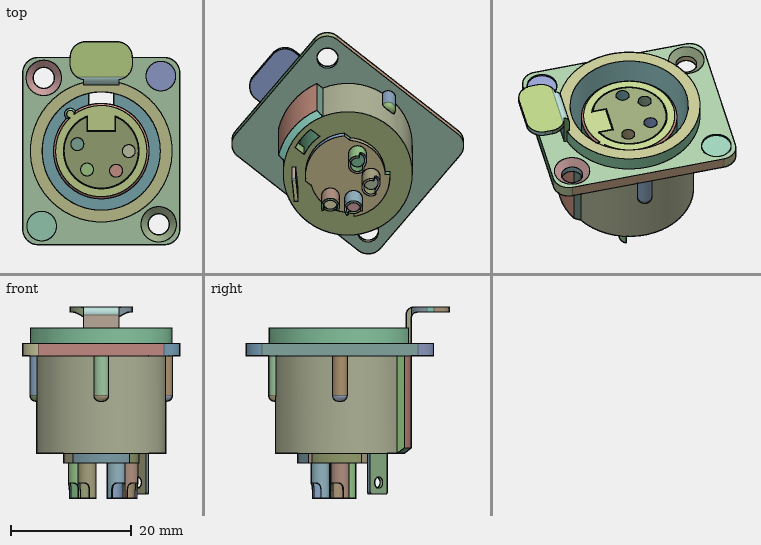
import cadquery as cq
import math


FLANGE_WIDTH = 26.01
FLANGE_HEIGHT = 31.0
FLANGE_THICKNESS = 2.1
FLANGE_CORNER = 2.6
SCREW_POSITIONS = [(-9.5, 12.1), (9.5, -12.1)]
SCREW_DIAMETER = 3.45
COUNTERSINK_DIAMETER = 5.85
COUNTERSINK_DEPTH = 1.0
RECESS_POSITIONS = [(9.85, 12.4), (-9.85, -12.4)]
RECESS_DIAMETER = 4.9
RECESS_DEPTH = 0.3

RIM_RADIUS = 11.72
RIM_TOP = 4.63
BARREL_RADIUS = 10.67
BARREL_BOTTOM = -16.1

RIB_RADIUS = 1.22
RIB_OUTER_REACH = 11.79
RIB_CENTRE_RADIUS = RIB_OUTER_REACH - RIB_RADIUS
RIB_LENGTH = 7.5
RIB_END_FILLET = 1.0
RIB_ANGLES = (0, 180, 270)

HOUSING_RADIUS = 11.8
HOUSING_HALF_WIDTH = 5.0
HOUSING_CHAMFER_HEIGHT = 0.9

SOCKET_RADIUS = 9.77
SOCKET_FLOOR = -12.0
INSERT_RADIUS = 7.9
INSERT_TOP = FLANGE_THICKNESS
INSERT_CHAMFER = 0.36
KEY_RADIUS = 0.97
KEY_CENTRE = (-5.1, 6.12)
CONTACT_HOLE_DIAMETER = 2.13
CONTACT_HOLE_DEPTH = 10.0
LATCH_WINDOW_HALF_WIDTH = 2.03

CARRIER_RADIUS = 6.25
CARRIER_NOTCH_HALF_WIDTH = 2.25
CARRIER_NOTCH_BOTTOM = 3.4
GROOVE_WIDTH = 0.12
GROOVE_DEPTH = 0.5

BOSS_HEIGHT = 1.6
BOSS_BOTTOM = BARREL_BOTTOM - BOSS_HEIGHT
BOSS_RADIUS = 6.2
BOSS_LOBE_RADIUS = 7.0
BOSS_BACK_HALF_WIDTH = 5.05
BOSS_BACK_START = 3.6
BOSS_FRONT_HALF_ANGLE = 42.0

CONTACTS = [(-3.95, 1.15, 215.0), (-2.35, -3.05, 225.0), (2.45, -3.25, 303.0), (4.55, 0.0, 322.0)]
PIN_RADIUS = 1.5
PIN_BOTTOM = -23.56
CUP_RADIUS = 1.17
CUP_DEPTH = 2.6
CUP_OPENING_HALF_ANGLE = 62.0
CUP_ARCH_HEIGHT = 1.3
CUP_OPENING_NEAR = 0.3
CUP_OPENING_FAR = 1.65

LUG_ANGLE = 45.0
LUG_FACE_DISTANCE = 8.44
LUG_THICKNESS = 0.65
LUG_WIDTH = 4.0
LUG_BOTTOM = -22.82
LUG_CORNER = 0.3
LUG_HOLE_DIAMETER = 1.85
LUG_HOLE_Z = -20.93

TAB_TOP = 8.1
TAB_OVERHANG = 2.6
TAB_END = FLANGE_HEIGHT / 2 + TAB_OVERHANG
TAB_WIDTH = 10.3
TAB_THICKNESS = 0.87
TAB_CORNER = 2.57
TAB_OUTER_BEND = 1.3
TAB_INNER_BEND = 1.0
LEG_WIDTH = 5.9
LEG_OUTER_Y = HOUSING_RADIUS
LEG_INNER_Y = LEG_OUTER_Y - TAB_THICKNESS


def cylinder(radius, bottom, top, centre=(0, 0)):
    """Vertical cylinder between two heights."""
    return cq.Workplane("XY", origin=(*centre, bottom)).circle(radius).extrude(top - bottom)


def block(x_range, y_range, z_range):
    """Axis-aligned box given by its limits."""
    limits = (x_range, y_range, z_range)
    size = [high - low for low, high in limits]
    corner = tuple(low for low, high in limits)
    return cq.Workplane("XY").box(*size, centered=False).translate(corner)


def make_flange():
    flange = (
        cq.Workplane("XY")
        .rect(FLANGE_WIDTH, FLANGE_HEIGHT)
        .extrude(FLANGE_THICKNESS)
        .edges("|Z")
        .fillet(FLANGE_CORNER)
    )
    cone = cq.Solid.makeCone(SCREW_DIAMETER / 2, COUNTERSINK_DIAMETER / 2, COUNTERSINK_DEPTH)
    for x, y in SCREW_POSITIONS:
        flange = flange.cut(cylinder(SCREW_DIAMETER / 2, 0, FLANGE_THICKNESS, (x, y)))
        countersink = cone.translate(cq.Vector(x, y, FLANGE_THICKNESS - COUNTERSINK_DEPTH))
        flange = flange.cut(cq.Workplane(countersink))
    for centre in RECESS_POSITIONS:
        recess = cylinder(RECESS_DIAMETER / 2, FLANGE_THICKNESS - RECESS_DEPTH, FLANGE_THICKNESS, centre)
        flange = flange.cut(recess)
    return flange


def make_rib(angle):
    """Round rib half sunk in the barrel, with a rounded lower end."""
    centre = (
        RIB_CENTRE_RADIUS * math.cos(math.radians(angle)),
        RIB_CENTRE_RADIUS * math.sin(math.radians(angle)),
    )
    return cylinder(RIB_RADIUS, -RIB_LENGTH, 0, centre).faces("<Z").edges().fillet(RIB_END_FILLET)


def make_latch_housing():
    """Sector of a larger cylinder whose lower edge tapers in to the barrel."""
    sector = cylinder(HOUSING_RADIUS, BARREL_BOTTOM, 0)
    sector = sector.faces("<Z").chamfer(HOUSING_CHAMFER_HEIGHT, HOUSING_RADIUS - BARREL_RADIUS)
    strip = block(
        (-HOUSING_HALF_WIDTH, HOUSING_HALF_WIDTH),
        (0, HOUSING_RADIUS),
        (BARREL_BOTTOM, 0),
    )
    return sector.intersect(strip)


def make_barrel():
    barrel = cylinder(BARREL_RADIUS, BARREL_BOTTOM, 0).union(cylinder(RIM_RADIUS, 0, RIM_TOP))
    barrel = barrel.union(make_latch_housing())
    for angle in RIB_ANGLES:
        barrel = barrel.union(make_rib(angle))
    return barrel


def carrier_outline(clearance):
    """Carrier face with its key notch, shrunk inwards by a clearance, as a groove-deep slab."""
    bottom = INSERT_TOP - GROOVE_DEPTH
    notch_half_width = CARRIER_NOTCH_HALF_WIDTH + clearance
    notch = block(
        (-notch_half_width, notch_half_width),
        (CARRIER_NOTCH_BOTTOM - clearance, CARRIER_RADIUS),
        (bottom, INSERT_TOP),
    )
    return cylinder(CARRIER_RADIUS - clearance, bottom, INSERT_TOP).cut(notch)


def make_insert():
    """Contact insert with its keying rib, contact holes and face groove."""
    insert = cylinder(INSERT_RADIUS, SOCKET_FLOOR, INSERT_TOP).faces(">Z").chamfer(INSERT_CHAMFER)
    key = cylinder(KEY_RADIUS, SOCKET_FLOOR, INSERT_TOP, KEY_CENTRE).faces(">Z").chamfer(INSERT_CHAMFER)
    insert = insert.union(key)
    for x, y, _ in CONTACTS:
        hole = cylinder(CONTACT_HOLE_DIAMETER / 2, INSERT_TOP - CONTACT_HOLE_DEPTH, INSERT_TOP, (x, y))
        insert = insert.cut(hole)
    return insert.cut(carrier_outline(0).cut(carrier_outline(GROOVE_WIDTH)))


def make_latch_window():
    """Opening between insert and socket wall, from the socket floor out through the rear."""
    ring = cylinder(SOCKET_RADIUS, BARREL_BOTTOM, SOCKET_FLOOR)
    ring = ring.cut(cylinder(INSERT_RADIUS, BARREL_BOTTOM, SOCKET_FLOOR))
    strip = block(
        (-LATCH_WINDOW_HALF_WIDTH, LATCH_WINDOW_HALF_WIDTH),
        (0, SOCKET_RADIUS),
        (BARREL_BOTTOM, SOCKET_FLOOR),
    )
    return ring.intersect(strip)


def make_boss():
    """Round boss with a wider sector at -Y and a wider flat-sided lobe at +Y."""
    boss = cylinder(BOSS_RADIUS, BOSS_BOTTOM, BARREL_BOTTOM)
    lobes = cylinder(BOSS_LOBE_RADIUS, BOSS_BOTTOM, BARREL_BOTTOM)
    back = block(
        (-BOSS_BACK_HALF_WIDTH, BOSS_BACK_HALF_WIDTH),
        (BOSS_BACK_START, BOSS_LOBE_RADIUS),
        (BOSS_BOTTOM, BARREL_BOTTOM),
    )
    wedge_half_width = BOSS_LOBE_RADIUS * math.tan(math.radians(BOSS_FRONT_HALF_ANGLE))
    front = (
        cq.Workplane("XY", origin=(0, 0, BOSS_BOTTOM))
        .polyline([(0, 0), (-wedge_half_width, -BOSS_LOBE_RADIUS), (wedge_half_width, -BOSS_LOBE_RADIUS)])
        .close()
        .extrude(BOSS_HEIGHT)
    )
    return boss.union(lobes.intersect(back)).union(lobes.intersect(front))


def make_cup_opening():
    """Wedge with radial sides and an arched top, from inside the cup bore out past the +X side."""
    spread = math.tan(math.radians(CUP_OPENING_HALF_ANGLE))
    near_half_width = CUP_OPENING_NEAR * spread
    far_half_width = CUP_OPENING_FAR * spread
    straight_height = CUP_DEPTH - CUP_ARCH_HEIGHT
    return (
        cq.Workplane("YZ", origin=(CUP_OPENING_NEAR, 0, PIN_BOTTOM))
        .moveTo(-near_half_width, 0)
        .lineTo(near_half_width, 0)
        .lineTo(near_half_width, straight_height)
        .ellipseArc(near_half_width, CUP_ARCH_HEIGHT, 0, 180)
        .close()
        .workplane(offset=CUP_OPENING_FAR - CUP_OPENING_NEAR)
        .moveTo(-far_half_width, 0)
        .lineTo(far_half_width, 0)
        .lineTo(far_half_width, straight_height)
        .ellipseArc(far_half_width, CUP_ARCH_HEIGHT, 0, 180)
        .close()
        .loft(ruled=True)
    )


def make_contact(x, y, opening_angle):
    """Contact pin whose lower end is a solder cup, cut open on one side."""
    pin = cylinder(PIN_RADIUS, PIN_BOTTOM, BOSS_BOTTOM)
    pin = pin.cut(cylinder(CUP_RADIUS, PIN_BOTTOM, PIN_BOTTOM + CUP_DEPTH))
    pin = pin.cut(make_cup_opening())
    return pin.rotate((0, 0, 0), (0, 0, 1), opening_angle).translate((x, y, 0))


def make_ground_lug():
    lug = block(
        (LUG_FACE_DISTANCE, LUG_FACE_DISTANCE + LUG_THICKNESS),
        (-LUG_WIDTH / 2, LUG_WIDTH / 2),
        (LUG_BOTTOM, BARREL_BOTTOM),
    )
    lug = lug.edges("|X and <Z").fillet(LUG_CORNER)
    hole = (
        cq.Workplane("YZ", origin=(LUG_FACE_DISTANCE, 0, LUG_HOLE_Z))
        .circle(LUG_HOLE_DIAMETER / 2)
        .extrude(LUG_THICKNESS)
    )
    return lug.cut(hole).rotate((0, 0, 0), (0, 0, 1), LUG_ANGLE)


def make_push_tab():
    """Bent strip: an upright leg rising from the flange and a round-cornered thumb plate."""
    upright = block((-TAB_WIDTH / 2, TAB_WIDTH / 2), (LEG_INNER_Y, LEG_OUTER_Y), (0, TAB_TOP))
    plate = block(
        (-TAB_WIDTH / 2, TAB_WIDTH / 2),
        (LEG_INNER_Y, TAB_END),
        (TAB_TOP - TAB_THICKNESS, TAB_TOP),
    )
    strip = upright.union(plate)
    strip = strip.edges("|X and >Z and <Y").fillet(TAB_OUTER_BEND)
    inner_corner = cq.selectors.NearestToPointSelector((0, LEG_OUTER_Y, TAB_TOP - TAB_THICKNESS))
    strip = strip.edges(inner_corner).fillet(TAB_INNER_BEND)
    plate_plan = (
        block((-TAB_WIDTH / 2, TAB_WIDTH / 2), (LEG_OUTER_Y, TAB_END), (0, TAB_TOP))
        .edges("|Z")
        .fillet(TAB_CORNER)
    )
    leg_plan = block((-LEG_WIDTH / 2, LEG_WIDTH / 2), (LEG_INNER_Y, TAB_END), (0, TAB_TOP))
    return strip.intersect(plate_plan.union(leg_plan))


result = make_flange().union(make_barrel())
result = result.cut(cylinder(SOCKET_RADIUS, SOCKET_FLOOR, RIM_TOP))
result = result.union(make_insert())
result = result.cut(make_latch_window())
result = result.union(make_boss())
for contact in CONTACTS:
    result = result.union(make_contact(*contact))
result = result.union(make_ground_lug())
result = result.union(make_push_tab())